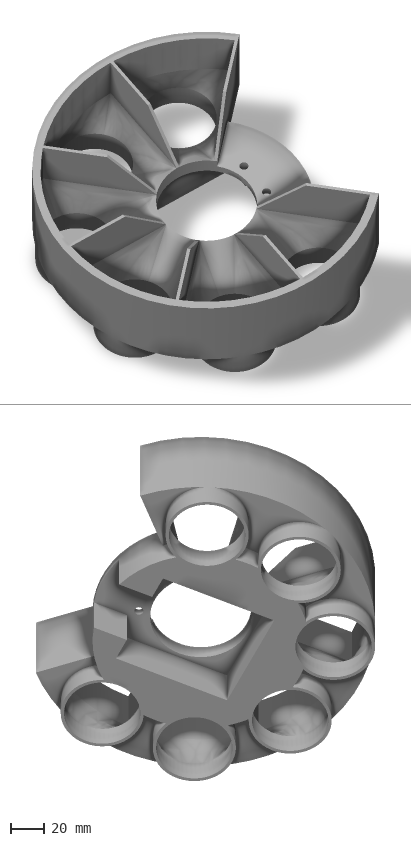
import cadquery as cq
import math

total_height = 65.0
outer_radius = 105.0
rim_thickness = 5.0
body_bottom = 15.0
floor_rim = 35.0
divider_thickness = 2.0
divider_top_start = 60.7

bin_count = 6
bin_angle = 45.0
first_divider_angle = 135.0

bore_diameter = 61.0
bin_overrun = 0.2
cup_diameter = 50.0
cup_hole_diameter = 46.0
cup_circle_radius = 80.0

hub_radius = 65.0
plate_bottom = 25.0
plate_top = 30.0
pocket_half_width = 33.2
pocket_back = 40.7
back_slot_half_width = 17.8
screw_hole_diameter = 5.5
screw_half_spacing = 12.0
screw_y = 35.5

bore_radius = bore_diameter / 2
bin_inner_radius = bore_radius - bin_overrun
inner_radius = outer_radius - rim_thickness
half_divider = divider_thickness / 2
divider_angles = [first_divider_angle + i * bin_angle for i in range(bin_count + 1)]
bin_angles = [angle + bin_angle / 2 for angle in divider_angles[:-1]]


def polar(radius, angle):
    """Point at a radius and an angle in degrees."""
    radians = math.radians(angle)
    return (radius * math.cos(radians), radius * math.sin(radians))


def cylinder(radius, bottom, top, center=(0, 0)):
    return cq.Workplane("XY", origin=(*center, bottom)).circle(radius).extrude(top - bottom)


def box(x_min, x_max, y_min, y_max, bottom, top):
    size = (x_max - x_min, y_max - y_min, top - bottom)
    return cq.Workplane("XY", origin=(x_min, y_min, bottom)).box(*size, centered=False)


def sector_corners(inner, outer, start, end, side_offset):
    """Corners of a ring sector with its sides moved inward, parallel to the radial lines."""
    inner_shift = math.degrees(math.asin(side_offset / inner))
    outer_shift = math.degrees(math.asin(side_offset / outer))
    return [
        polar(inner, start + inner_shift),
        polar(outer, start + outer_shift),
        polar(outer, end - outer_shift),
        polar(inner, end - inner_shift),
    ]


def sector_outline(workplane, inner, outer, start, end, side_offset):
    """Closed ring sector, starting at its first inner corner."""
    middle = (start + end) / 2
    corners = sector_corners(inner, outer, start, end, side_offset)
    return (
        workplane.moveTo(*corners[0])
        .lineTo(*corners[1])
        .threePointArc(polar(outer, middle), corners[2])
        .lineTo(*corners[3])
        .threePointArc(polar(inner, middle), corners[0])
        .close()
    )


def body_block():
    """Solid body, reaching half a divider past its two end planes."""
    plane = cq.Workplane("XY", origin=(0, 0, body_bottom))
    outline = sector_outline(
        plane, bore_radius / 2, outer_radius, divider_angles[0], divider_angles[-1], -half_divider
    )
    return outline.extrude(total_height - body_bottom)


def bin_space(middle):
    """Open space of one bin above its floor."""
    plane = cq.Workplane("XY", origin=(0, 0, floor_rim))
    start = middle - bin_angle / 2
    end = middle + bin_angle / 2
    outline = sector_outline(plane, bin_inner_radius, inner_radius, start, end, half_divider)
    return outline.extrude(total_height - floor_rim)


def bin_funnel(middle):
    """Funnel from the four-sided bin outline down to the round cup hole."""
    center = polar(cup_circle_radius, middle)
    start = middle - bin_angle / 2
    end = middle + bin_angle / 2
    corners = sector_corners(bin_inner_radius, inner_radius, start, end, half_divider)

    def on_circle(angle):
        x, y = polar(cup_hole_diameter / 2, angle)
        return (center[0] + x, center[1] + y)

    facing = [math.degrees(math.atan2(y - center[1], x - center[0])) for x, y in corners]
    lower = cq.Workplane("XY", origin=(0, 0, body_bottom)).moveTo(*on_circle(facing[0]))
    for i in range(4):
        next_angle = facing[(i + 1) % 4]
        sweep = (next_angle - facing[i]) % 360
        lower = lower.threePointArc(on_circle(facing[i] + sweep / 2), on_circle(next_angle))
    plane = cq.Workplane("XY", origin=(0, 0, floor_rim))
    upper = sector_outline(plane, bin_inner_radius, inner_radius, start, end, half_divider)
    lower_wire = lower.wire().val()
    upper_wire = upper.val()
    return cq.Workplane(cq.Solid.makeLoft([lower_wire, upper_wire], True))


def divider_relief():
    """Cone that slopes the inner edges of all dividers."""
    profile = [
        (0, floor_rim),
        (bore_radius, floor_rim),
        (divider_top_start, total_height),
        (0, total_height),
    ]
    return cq.Workplane("XZ").polyline(profile).close().revolve(360, (0, 0, 0), (0, 1, 0))


result = body_block().union(cylinder(hub_radius, 0, plate_top))
for angle in bin_angles:
    result = result.union(cylinder(cup_diameter / 2, 0, body_bottom, polar(cup_circle_radius, angle)))

for angle in bin_angles:
    result = result.cut(bin_space(angle)).cut(bin_funnel(angle))
    result = result.cut(cylinder(cup_hole_diameter / 2, 0, body_bottom, polar(cup_circle_radius, angle)))
result = result.cut(divider_relief())

result = result.cut(cylinder(bore_radius, 0, total_height))
result = result.cut(
    box(-pocket_half_width, pocket_half_width, -pocket_half_width, pocket_back, 0, plate_bottom)
)
result = result.cut(
    box(-back_slot_half_width, back_slot_half_width, 0, hub_radius, 0, plate_bottom)
)

for x in (-screw_half_spacing, screw_half_spacing):
    result = result.cut(cylinder(screw_hole_diameter / 2, plate_bottom, plate_top, (x, screw_y)))